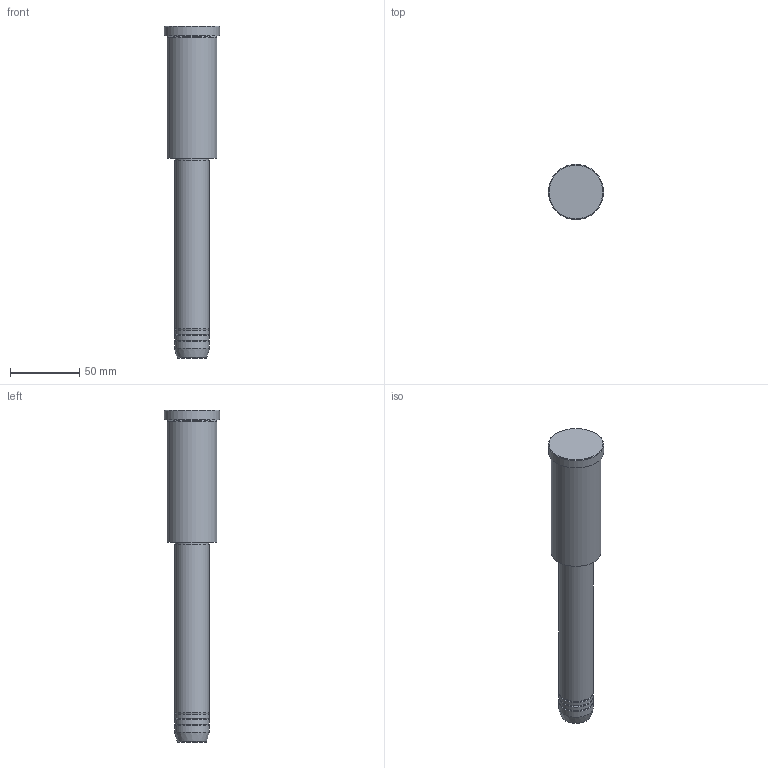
import cadquery as cq

total_length = 240.0

head_diameter = 40.0
head_height = 7.0
head_chamfer = 0.5

body_diameter = 36.0
body_bottom_z = total_length - 95.5
relief_width = 1.0
relief_depth = 0.5

pin_diameter = 25.0
neck_diameter = 24.0
neck_length = 1.5

nose_length = 7.0
nose_mid_diameter = 23.6
tip_diameter = 21.6
tip_chamfer = 0.5

groove_count = 3
groove_pitch = 4.0
groove_width = 1.0
groove_depth = 0.5
lowest_groove_z = 12.5


def point(diameter, z):
    """Point of the half outline, which lies on the -X side of the axis."""
    return (-diameter / 2, z)


def add_round_groove(outline, diameter, bottom_z, width, depth):
    """Carry the outline up a cylinder and through one rounded groove."""
    middle = point(diameter - 2 * depth, bottom_z + width / 2)
    end = point(diameter, bottom_z + width)
    return outline.lineTo(*point(diameter, bottom_z)).threePointArc(middle, end)


def add_nose(outline):
    nose_mid_z = (tip_chamfer + nose_length) / 2
    return (
        outline.lineTo(*point(tip_diameter - 2 * tip_chamfer, 0))
        .lineTo(*point(tip_diameter, tip_chamfer))
        .threePointArc(point(nose_mid_diameter, nose_mid_z), point(pin_diameter, nose_length))
    )


def add_pin(outline):
    for index in range(groove_count):
        bottom_z = lowest_groove_z + index * groove_pitch - groove_width / 2
        outline = add_round_groove(outline, pin_diameter, bottom_z, groove_width, groove_depth)
    neck_bottom_z = body_bottom_z - neck_length
    return (
        outline.lineTo(*point(pin_diameter, neck_bottom_z))
        .lineTo(*point(neck_diameter, neck_bottom_z))
        .lineTo(*point(neck_diameter, body_bottom_z))
    )


def add_body_and_head(outline):
    head_bottom_z = total_length - head_height
    relief_bottom_z = head_bottom_z - relief_width
    relief_diameter = body_diameter - 2 * relief_depth
    return (
        outline.lineTo(*point(body_diameter, body_bottom_z))
        .lineTo(*point(body_diameter, relief_bottom_z))
        .lineTo(*point(relief_diameter, relief_bottom_z + relief_depth))
        .lineTo(*point(relief_diameter, head_bottom_z))
        .lineTo(*point(head_diameter, head_bottom_z))
        .lineTo(*point(head_diameter, total_length - head_chamfer))
        .lineTo(*point(head_diameter - 2 * head_chamfer, total_length))
        .lineTo(0, total_length)
    )


half_outline = add_nose(cq.Workplane("XZ"))
half_outline = add_pin(half_outline)
half_outline = add_body_and_head(half_outline)
result = half_outline.close().revolve(360, (0, 0, 0), (0, 1, 0))